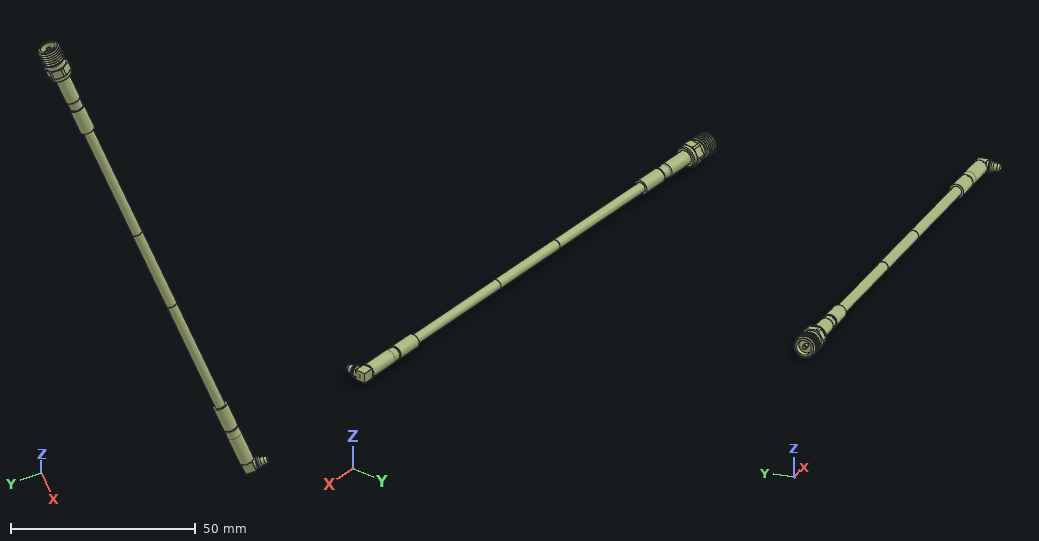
import cadquery as cq
import math


OVERALL_LENGTH = 149.9
THREAD_END = 4.8
HEX_START = 6.1
HEX_END = 8.7
COLLAR_END = 10.0
JACK_BARREL_END = 18.7
JACK_TAPER_END = 21.3
SLEEVE_LENGTH = 7.8
MARKER_START = 65.7
MARKER_END = 91.0
PLUG_SLEEVE_START = 126.8
PLUG_SLEEVE_END = PLUG_SLEEVE_START + SLEEVE_LENGTH
PLUG_BARREL_START = 137.2
PLUG_BARREL_END = 146.3

CABLE_RADIUS = 1.5
MARKER_WALL = 0.06
SLEEVE_RADIUS = 2.1

BARREL_RADIUS = 2.1
TAIL_RADIUS = 2.0
RIM_BEVEL_LENGTH = 0.5
RIM_BEVEL_DROP = 0.1

HEX_ACROSS_FLATS = 6.3
HEX_CORNER_RADIUS = 3.5
HEX_SIDES = 6
HEX_TURN = 180 / HEX_SIDES
NECK_RADIUS = 2.8
COLLAR_DIAMETER = 6.1
COLLAR_RADIUS = COLLAR_DIAMETER / 2
COLLAR_CHAMFER = 0.3
THREAD_CREST_RADIUS = 3.1
THREAD_ROOT_RADIUS = 2.7
THREAD_PITCH = 0.7
THREAD_FLAT = THREAD_PITCH / 8
THREAD_LEAD_IN = 0.3
SOCKET_RADIUS = 2.1
SOCKET_DEPTH = 2.0
CONTACT_RADIUS = 0.6
CONTACT_BORE_RADIUS = 0.5
CONTACT_BORE_DEPTH = 3.0
CONTACT_RECESS = 0.5
CONTACT_SEAT_DEPTH = 6.0

BLOCK_WIDTH = 3.1
BLOCK_END = 149.6
FLANGE_RADIUS = 1.8
PLUG_AXIS_X = OVERALL_LENGTH - FLANGE_RADIUS
PLUG_STEM_RADIUS = BLOCK_WIDTH / 2
PLUG_NOSE_RADIUS = 1.2
PLUG_TIP_RADIUS = 0.9
FLANGE_START = 2.4
FLANGE_END = 2.7
STEM_END = 3.1
STEM_TAPER_END = 3.6
NOSE_TAPER_START = 4.6
PLUG_REACH = 5.4


def revolve_about_x(points):
    """Solid of revolution about X from an outline of (x, radius) points that closes along the axis."""
    return cq.Workplane("XY").polyline(points).close().revolve(360, (0, 0, 0), (1, 0, 0))


def rod(start, end, radius):
    """Solid cylinder along the cable axis."""
    return cq.Workplane("YZ", origin=(start, 0, 0)).circle(radius).extrude(end - start)


def thread_outline():
    """Ring-shaped V threads as (x, radius) points, from the mouth of the jack to the neck."""
    ring_count = math.floor((THREAD_END - THREAD_LEAD_IN) / THREAD_PITCH)
    points = [(0, 0), (0, THREAD_ROOT_RADIUS)]
    for ring in range(ring_count):
        root_x = THREAD_LEAD_IN + ring * THREAD_PITCH
        points.append((root_x, THREAD_ROOT_RADIUS))
        points.append((root_x + THREAD_PITCH / 2 - THREAD_FLAT, THREAD_CREST_RADIUS))
        points.append((root_x + THREAD_PITCH / 2, THREAD_CREST_RADIUS))
        points.append((root_x + THREAD_PITCH - THREAD_FLAT, THREAD_ROOT_RADIUS))
    points.append((THREAD_LEAD_IN + ring_count * THREAD_PITCH, THREAD_ROOT_RADIUS))
    return points


def make_jack():
    """Threaded jack with its hexagon, collar, barrel and tapered tail."""
    outline = thread_outline() + [
        (THREAD_END, THREAD_ROOT_RADIUS),
        (THREAD_END, NECK_RADIUS),
        (HEX_END, NECK_RADIUS),
        (HEX_END, COLLAR_RADIUS),
        (COLLAR_END - COLLAR_CHAMFER, COLLAR_RADIUS),
        (COLLAR_END, COLLAR_RADIUS - COLLAR_CHAMFER),
        (COLLAR_END, BARREL_RADIUS),
        (JACK_BARREL_END - RIM_BEVEL_LENGTH, BARREL_RADIUS),
        (JACK_BARREL_END, BARREL_RADIUS - RIM_BEVEL_DROP),
        (JACK_TAPER_END, TAIL_RADIUS - RIM_BEVEL_DROP),
        (JACK_TAPER_END, 0),
    ]
    hexagon = (
        cq.Workplane("YZ", origin=(HEX_START, 0, 0))
        .polygon(HEX_SIDES, HEX_ACROSS_FLATS, circumscribed=True)
        .extrude(HEX_END - HEX_START)
        .rotate((0, 0, 0), (1, 0, 0), HEX_TURN)
        .intersect(rod(HEX_START, HEX_END, HEX_CORNER_RADIUS))
    )
    socket = rod(0, SOCKET_DEPTH, SOCKET_RADIUS)
    contact_seat = rod(SOCKET_DEPTH, CONTACT_SEAT_DEPTH, CONTACT_RADIUS)
    return revolve_about_x(outline).union(hexagon).cut(socket).cut(contact_seat)


def make_contact():
    """Hollow-ended socket contact, seated in the floor of the jack socket."""
    bore = rod(CONTACT_RECESS, CONTACT_BORE_DEPTH, CONTACT_BORE_RADIUS)
    return rod(CONTACT_RECESS, CONTACT_SEAT_DEPTH, CONTACT_RADIUS).cut(bore)


def make_cable():
    """Cable running between the facing ends of the two connectors."""
    return rod(JACK_TAPER_END, PLUG_SLEEVE_END, CABLE_RADIUS)


def make_tube(start, end, radius):
    """Tube that fits closely around the cable."""
    return rod(start, end, radius).cut(rod(start, end, CABLE_RADIUS))


def make_plug():
    """Right-angle plug: tapered barrel, square block and a flanged nose pointing to -Y."""
    barrel = revolve_about_x([
        (PLUG_SLEEVE_END, 0),
        (PLUG_SLEEVE_END, TAIL_RADIUS - RIM_BEVEL_DROP),
        (PLUG_SLEEVE_END + RIM_BEVEL_LENGTH, TAIL_RADIUS),
        (PLUG_BARREL_START, BARREL_RADIUS),
        (PLUG_BARREL_END, BARREL_RADIUS),
        (PLUG_BARREL_END, 0),
    ])
    block = (
        cq.Workplane("YZ", origin=(PLUG_BARREL_END, 0, 0))
        .rect(BLOCK_WIDTH, BLOCK_WIDTH)
        .extrude(BLOCK_END - PLUG_BARREL_END)
    )
    nose_outline = [
        (0, 0),
        (PLUG_STEM_RADIUS, 0),
        (PLUG_STEM_RADIUS, -FLANGE_START),
        (FLANGE_RADIUS, -FLANGE_START),
        (FLANGE_RADIUS, -FLANGE_END),
        (PLUG_STEM_RADIUS, -FLANGE_END),
        (PLUG_STEM_RADIUS, -STEM_END),
        (PLUG_NOSE_RADIUS, -STEM_TAPER_END),
        (PLUG_NOSE_RADIUS, -NOSE_TAPER_START),
        (PLUG_TIP_RADIUS, -PLUG_REACH),
        (0, -PLUG_REACH),
    ]
    nose = (
        cq.Workplane("XY", origin=(PLUG_AXIS_X, 0, 0))
        .polyline(nose_outline)
        .close()
        .revolve(360, (0, 0, 0), (0, 1, 0))
    )
    return barrel.union(block).union(nose)


jack = make_jack()
contact = make_contact()
cable = make_cable()
marker = make_tube(MARKER_START, MARKER_END, CABLE_RADIUS + MARKER_WALL)
sleeves = [
    make_tube(start, start + SLEEVE_LENGTH, SLEEVE_RADIUS)
    for start in (JACK_TAPER_END, PLUG_SLEEVE_START)
]
plug = make_plug()

result = cq.Compound.makeCompound(
    [jack.val(), contact.val(), cable.val(), marker.val(), *[s.val() for s in sleeves], plug.val()]
)